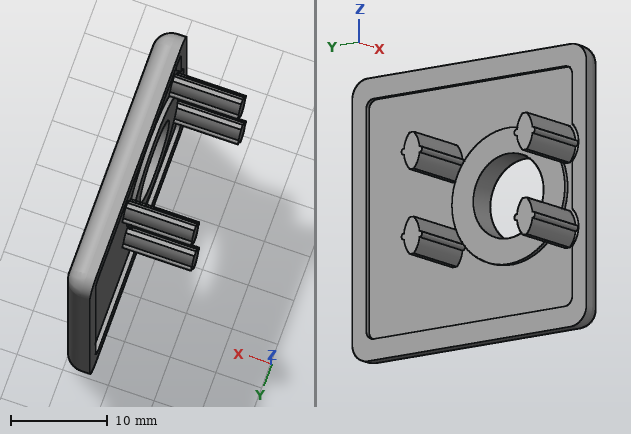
import cadquery as cq

plate_side = 30.0
plate_thickness = 3.0
edge_radius = plate_thickness * 2 / 3
fillet_clearance = 0.003

recess_width = 26.4
recess_height = 25.5
recess_depth = 0.5
recess_corner_radius = 1.0
relief_reach = 0.8

hole_y = -5.0
hole_radius = 4.5
ring_radius = 7.23

pin_length = plate_side / 3 - plate_thickness
pin_spacing_y = 14.45
pin_spacing_z = 9.0
pin_half_height = 1.95
pin_half_width = 1.0
pin_tip_half_width = 0.27
nub_half_width = 1.32
nub_half_height = 0.33
flank_bulge = 0.15

pin_ys = [hole_y - pin_spacing_y / 2, hole_y + pin_spacing_y / 2]
pin_zs = [-pin_spacing_z / 2, pin_spacing_z / 2]


def make_plate():
    blank = cq.Workplane("YZ").rect(plate_side, plate_side).extrude(plate_thickness)
    rounded = blank.edges("|X").fillet(edge_radius)
    return rounded.faces(">X").edges().fillet(edge_radius - fillet_clearance)


def make_relief(center_z):
    """Bowed widening of the recess beside one of the outer pins."""
    recess_edge = -recess_width / 2
    return (
        cq.Workplane("YZ")
        .moveTo(recess_edge, center_z - pin_half_height)
        .threePointArc(
            (recess_edge - relief_reach, center_z),
            (recess_edge, center_z + pin_half_height),
        )
        .close()
        .extrude(recess_depth)
    )


def make_recess():
    recess = (
        cq.Workplane("YZ")
        .rect(recess_width, recess_height)
        .extrude(recess_depth)
        .edges("|X")
        .fillet(recess_corner_radius)
    )
    for z in pin_zs:
        recess = recess.union(make_relief(z))
    ring = cq.Workplane("YZ").center(hole_y, 0).circle(ring_radius).extrude(recess_depth)
    return recess.cut(ring)


def make_pin(center_y, center_z):
    """Pin from its free end to the recess floor."""
    flank_mid_y = (pin_half_width + pin_tip_half_width) / 2 + flank_bulge
    flank_mid_z = (pin_half_height + nub_half_height) / 2
    half = (
        cq.Workplane("YZ", origin=(-pin_length, center_y, center_z))
        .moveTo(0, -pin_half_height)
        .lineTo(pin_tip_half_width, -pin_half_height)
        .threePointArc((flank_mid_y, -flank_mid_z), (pin_half_width, -nub_half_height))
        .threePointArc((nub_half_width, 0), (pin_half_width, nub_half_height))
        .threePointArc((flank_mid_y, flank_mid_z), (pin_tip_half_width, pin_half_height))
        .lineTo(0, pin_half_height)
        .close()
        .extrude(pin_length + recess_depth)
    )
    other_half = half.mirror("XZ", (0, center_y, 0))
    return half.union(other_half)


hole = cq.Workplane("YZ").center(hole_y, 0).circle(hole_radius).extrude(plate_thickness)

result = make_plate().cut(make_recess()).cut(hole)
for y in pin_ys:
    for z in pin_zs:
        result = result.union(make_pin(y, z))